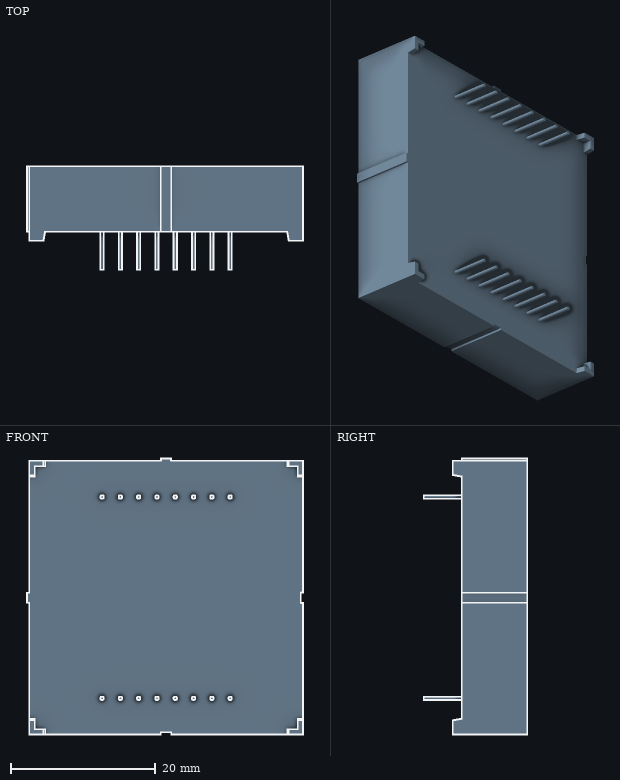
import cadquery as cq

overall_side = 38.3
overall_depth = 14.4
key_height = 0.3
body_side = overall_side - key_height
body_depth = 9.1
half_side = body_side / 2

key_width = 1.4

foot_tip_length = 2.0
foot_wall = 0.75
foot_height = 1.25
foot_end_taper = 0.23

pins_per_row = 8
pin_row_length = 17.77
pin_row_spacing = 27.92
pin_diameter = 0.5
pin_length = overall_depth - body_depth


def block(x_min, x_max, y_min, y_max, z_min, z_max):
    """Box given by its limits along each axis."""
    size = (x_max - x_min, y_max - y_min, z_max - z_min)
    return cq.Workplane("XY").box(*size, centered=False).translate((x_min, y_min, z_min))


def side_key(face_position):
    """Full-depth key, centred on Z, standing from face_position toward -X."""
    return block(face_position - key_height, face_position, 0, body_depth, -key_width / 2, key_width / 2)


def foot_arm():
    """Wall along the -X edge of the -X, -Z corner, its free end tapering toward the tip."""
    tip_end = -half_side + foot_tip_length
    return (
        cq.Workplane("YZ", origin=(-half_side, 0, 0))
        .moveTo(0, -half_side)
        .lineTo(-foot_height, -half_side)
        .lineTo(-foot_height, tip_end)
        .lineTo(0, tip_end + foot_end_taper)
        .close()
        .extrude(foot_wall)
    )


def corner_foot():
    """L-shaped foot at the -X, -Z corner: one arm and its mirror across the corner diagonal."""
    arm = foot_arm()
    mirrored_arm = arm.mirror("XY").rotate((0, 0, 0), (0, 1, 0), 90)
    return arm.union(mirrored_arm)


def pin_array():
    """Both rows of pins, standing out of the pin face toward -Y."""
    pitch = pin_row_length / (pins_per_row - 1)
    return (
        cq.Workplane("XZ")
        .rarray(pitch, pin_row_spacing, pins_per_row, 2)
        .circle(pin_diameter / 2)
        .extrude(pin_length)
    )


result = block(-half_side, half_side, 0, body_depth, -half_side, half_side)

rib = side_key(-half_side)
result = result.union(rib)
result = result.union(rib.rotate((0, 0, 0), (0, 1, 0), 90))

groove = side_key(half_side)
result = result.cut(groove)
result = result.cut(groove.rotate((0, 0, 0), (0, 1, 0), 90))

foot = corner_foot()
for quarter_turn in range(4):
    result = result.union(foot.rotate((0, 0, 0), (0, 1, 0), 90 * quarter_turn))

result = result.union(pin_array())